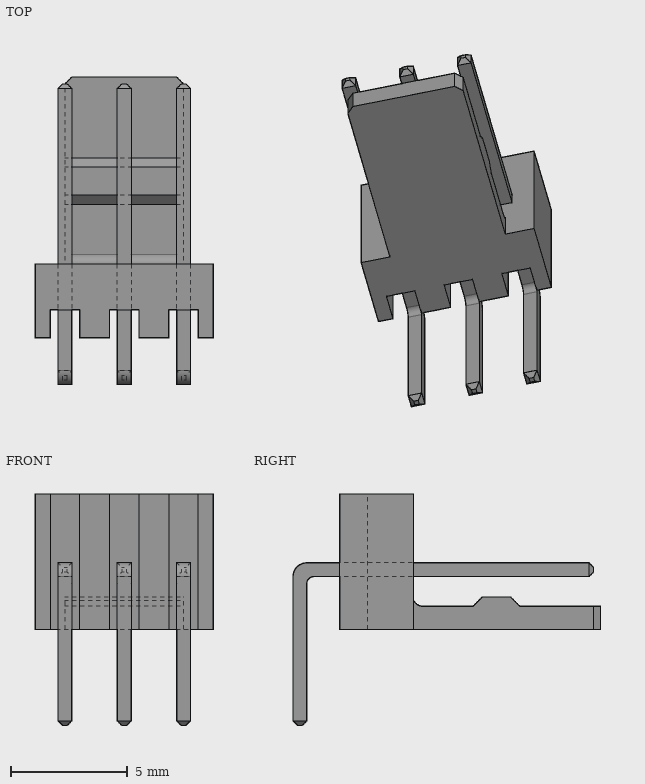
import cadquery as cq


pin_count = 3
pitch = 2.54
pin_row_length = (pin_count - 1) * pitch

housing_length = pin_count * pitch
housing_depth = 3.17
housing_height = 5.8

slot_width = 1.25
slot_depth = 1.2

tongue_width = pin_row_length
tongue_length = 8.0
tongue_thickness = 1.0
tongue_tip_chamfer = 0.3
latch_offset = pitch
latch_base_length = 2.0
latch_height = 0.4
root_radius = 0.45
root_length = 0.4
root_height = root_radius - (root_radius**2 - root_length**2) ** 0.5

pin_size = 0.6
pin_tip_chamfer = 0.2
pin_axis_height = 2.56
pin_overhang = 2.0
pin_drop = 4.11
pin_outer_radius = 0.6
pin_inner_radius = 0.3
pin_tip_setback = 0.3

tongue_tip_y = housing_depth + tongue_length
pin_tip_y = tongue_tip_y - pin_tip_setback
pin_xs = [(index - (pin_count - 1) / 2) * pitch for index in range(pin_count)]


def make_tongue():
    """Tongue under the pins: latch ridge, partial fillet at the root, chamfered tip corners."""
    latch_start = housing_depth + latch_offset
    latch_end = latch_start + latch_base_length
    latch_top = tongue_thickness + latch_height
    root_end = housing_depth + root_length
    arc_rise = root_radius - (root_radius**2 - (root_length / 2) ** 2) ** 0.5
    profile = (
        cq.Workplane("YZ")
        .moveTo(housing_depth, 0)
        .lineTo(tongue_tip_y, 0)
        .lineTo(tongue_tip_y, tongue_thickness)
        .lineTo(latch_end, tongue_thickness)
        .lineTo(latch_end - latch_height, latch_top)
        .lineTo(latch_start + latch_height, latch_top)
        .lineTo(latch_start, tongue_thickness)
        .lineTo(root_end, tongue_thickness)
        .threePointArc(
            (root_end - root_length / 2, tongue_thickness + arc_rise),
            (housing_depth, tongue_thickness + root_height),
        )
        .close()
    )
    tongue = profile.extrude(tongue_width / 2, both=True)
    return tongue.faces(">Y").edges("|Z").chamfer(tongue_tip_chamfer)


def make_housing():
    """Block with the tongue, a slot around each pin and a square hole for each pin."""
    block = cq.Workplane("XY").box(
        housing_length, housing_depth, housing_height, centered=(True, False, False)
    )
    housing = block.union(make_tongue())
    slot = cq.Workplane("XY").box(slot_width, slot_depth, housing_height, centered=(True, False, False))
    pin_hole = cq.Workplane("XY").box(pin_size, housing_depth, pin_size, centered=(True, False, True))
    for x in pin_xs:
        housing = housing.cut(slot.translate((x, 0, 0)))
        housing = housing.cut(pin_hole.translate((x, 0, pin_axis_height)))
    return housing


def make_pin(x):
    """Square pin running along Y, bent down at the solder side, chamfered at both ends."""
    top = pin_axis_height + pin_size / 2
    bottom = pin_axis_height - pin_size / 2
    leg_back = -pin_overhang
    leg_front = leg_back + pin_size
    pin = (
        cq.Workplane("YZ")
        .polyline(
            [
                (pin_tip_y, top),
                (leg_back, top),
                (leg_back, -pin_drop),
                (leg_front, -pin_drop),
                (leg_front, bottom),
                (pin_tip_y, bottom),
            ]
        )
        .close()
        .extrude(pin_size / 2, both=True)
    )
    pin = pin.faces(">Y or <Z").chamfer(pin_tip_chamfer)
    outer_corner = cq.selectors.NearestToPointSelector((0, leg_back, top))
    pin = pin.edges("|X").edges(outer_corner).fillet(pin_outer_radius)
    inner_corner = cq.selectors.NearestToPointSelector((0, leg_front, bottom))
    pin = pin.edges("|X").edges(inner_corner).fillet(pin_inner_radius)
    return pin.translate((x, 0, 0))


housing = make_housing()
pins = [make_pin(x) for x in pin_xs]

result = cq.Compound.makeCompound([housing.val(), *[pin.val() for pin in pins]])